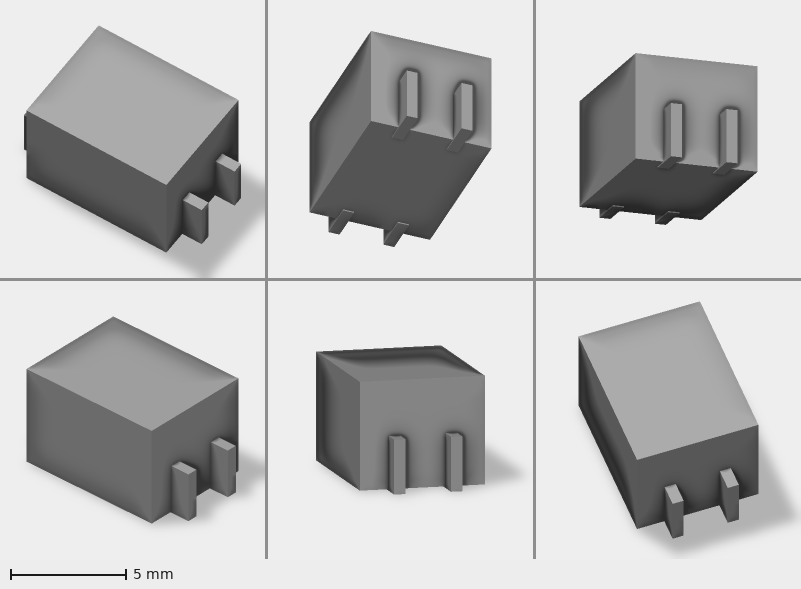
import cadquery as cq

overall_length = 9.3
housing_width = 5.61
overall_height = 4.85

housing_length = 7.31
standoff = 0.06
housing_height = overall_height - standoff

lead_length = 1.74
lead_width = 0.51
lead_height = 2.42
lead_pitch = 2.55

marker_diameter = 0.36
marker_depth = 0.06
marker_inset = 0.74
marker_x = -housing_length / 2 + marker_inset
marker_y = lead_pitch / 2


def make_lead(end, row):
    """One lead; end is -1 or 1 along X, row is -1 or 1 along Y."""
    center_x = end * (overall_length - lead_length) / 2
    center_y = row * lead_pitch / 2
    return (
        cq.Workplane("XY")
        .center(center_x, center_y)
        .box(lead_length, lead_width, lead_height, centered=(True, True, False))
    )


def make_marker():
    """Thin disc filling a shallow recess in the housing top."""
    return (
        cq.Workplane("XY", origin=(marker_x, marker_y, overall_height - marker_depth))
        .circle(marker_diameter / 2)
        .extrude(marker_depth)
    )


def make_housing(inserts):
    """Block with a matching recess for every inserted body."""
    block = (
        cq.Workplane("XY", origin=(0, 0, standoff))
        .box(housing_length, housing_width, housing_height, centered=(True, True, False))
    )
    for insert in inserts:
        block = block.cut(insert)
    return block


leads = [make_lead(end, row) for end in (-1, 1) for row in (-1, 1)]
marker = make_marker()
housing = make_housing([*leads, marker])

result = cq.Compound.makeCompound(
    [housing.val(), marker.val(), *[lead.val() for lead in leads]]
)